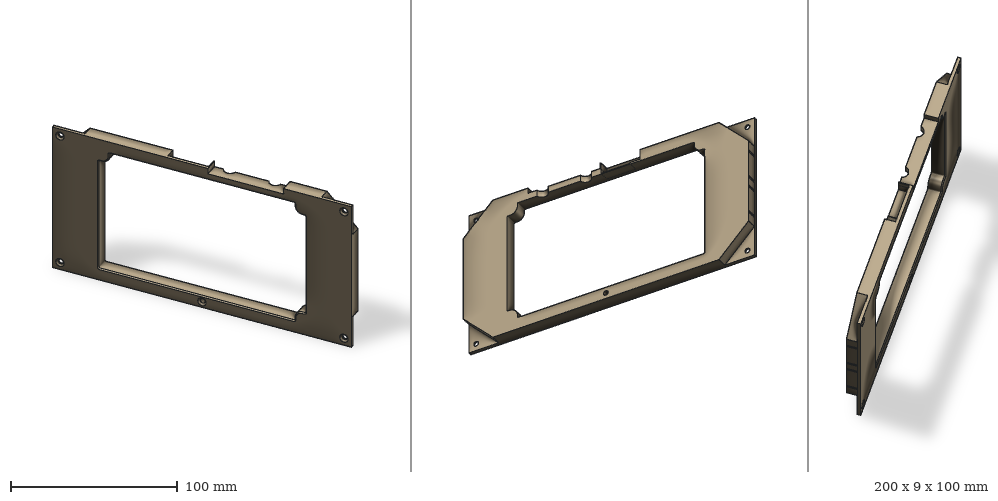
import cadquery as cq

LENGTH = 200.0
DEPTH = 9.0
HEIGHT = 100.0
PLATE_THICKNESS = 2.2
CORNER_CUT = 20.8

WINDOW_LEFT = 30.8
WINDOW_RIGHT = 169.2
WINDOW_BOTTOM = 8.2
WINDOW_TOP = 91.8
CORNER_TAB = 7.2
TAB_RADIUS = 5.0
WINDOW_CORNER_RADIUS = 0.8
WINDOW_CHAMFER = 0.8

HOLE_DIAMETER = 3.2
COUNTERSINK_DIAMETER = 5.5
COUNTERSINK_ANGLE = 90.0
HOLE_INSET = 5.0
MIDDLE_HOLE_X = LENGTH / 2
MIDDLE_HOLE_Z = 4.0

TOP_SLOT_LEFT = 104.0
TOP_SLOT_RIGHT = 154.5
TOP_SLOT_DEPTH = 3.8
POCKET_LEFT = 76.2
FIN_THICKNESS = 0.5
POCKET_STEP_X = 83.2
POCKET_DEPTH = 7.0
POCKET_STEP = 0.5
WIRE_NOTCH_X = (114.0, 144.5)
WIRE_NOTCH_RADIUS = 4.0
WIRE_NOTCH_DEPTH = 3.0

RECESS_DEPTH = 0.1
RECESS_FRONT = 2.0
RIB_WIDTH = 1.2
RIB_OFFSETS = (-22.0, -3.5, 3.5, 22.0)


def box(x0, x1, y0, y1, z0, z1):
    """Box between opposite corner coordinates."""
    return cq.Workplane("XY").box(x1 - x0, y1 - y0, z1 - z0, centered=False).translate((x0, y0, z0))


def make_blank():
    """Rectangular front plate with a corner-cut body behind it."""
    plate = box(0, LENGTH, 0, PLATE_THICKNESS, 0, HEIGHT)
    body = box(0, LENGTH, 0, DEPTH, 0, HEIGHT).edges("|Y").chamfer(CORNER_CUT)
    return plate.union(body)


def make_window():
    """Cutter for the window: three corners keep a rounded tab, the front rim is chamfered."""
    opening = box(WINDOW_LEFT, WINDOW_RIGHT, 0, DEPTH, WINDOW_BOTTOM, WINDOW_TOP)
    tab_corners = (
        (WINDOW_LEFT, WINDOW_TOP, 1, -1),
        (WINDOW_RIGHT, WINDOW_TOP, -1, -1),
        (WINDOW_RIGHT, WINDOW_BOTTOM, -1, 1),
    )
    for x, z, toward_x, toward_z in tab_corners:
        tip_x = x + toward_x * CORNER_TAB
        tip_z = z + toward_z * CORNER_TAB
        tab = box(min(x, tip_x), max(x, tip_x), 0, DEPTH, min(z, tip_z), max(z, tip_z))
        tip_side = (">" if toward_x > 0 else "<") + "X"
        tip_level = (">" if toward_z > 0 else "<") + "Z"
        tab = tab.faces(tip_side).edges("|Y").edges(tip_level).fillet(TAB_RADIUS)
        opening = opening.cut(tab)
    outer_faces = opening.faces("<X or >X or <Z or >Z")
    opening = outer_faces.edges("|Y").fillet(WINDOW_CORNER_RADIUS)
    return opening.union(flare(opening))


def flare(opening):
    """Tapered prism that widens the opening toward the front face."""
    outline = opening.faces("<Y").wires().val().translate(cq.Vector(0, WINDOW_CHAMFER, 0))
    return (
        cq.Workplane("XZ", origin=(0, WINDOW_CHAMFER, 0))
        .add(outline)
        .toPending()
        .extrude(WINDOW_CHAMFER, taper=-45)
    )


def drill_holes(part):
    """Four corner holes and one in the bottom rail, countersunk from the front."""
    columns = (HOLE_INSET, LENGTH - HOLE_INSET)
    rows = (HOLE_INSET, HEIGHT - HOLE_INSET)
    points = [(x, z) for x in columns for z in rows]
    points.append((MIDDLE_HOLE_X, MIDDLE_HOLE_Z))
    return (
        cq.Workplane("XZ")
        .add(part)
        .pushPoints(points)
        .cskHole(HOLE_DIAMETER, COUNTERSINK_DIAMETER, COUNTERSINK_ANGLE)
    )


def cut_top_edge(part):
    """Slot through the full depth, stepped pocket behind the plate, and round notches in the rear edge."""
    slot_floor = HEIGHT - TOP_SLOT_DEPTH
    part = part.cut(box(TOP_SLOT_LEFT, TOP_SLOT_RIGHT, 0, DEPTH, slot_floor, HEIGHT))
    pocket_right = TOP_SLOT_LEFT - FIN_THICKNESS
    pocket_floor = HEIGHT - POCKET_DEPTH
    part = part.cut(box(POCKET_LEFT, pocket_right, PLATE_THICKNESS, DEPTH, pocket_floor, HEIGHT))
    part = part.cut(
        box(POCKET_STEP_X, pocket_right, PLATE_THICKNESS, DEPTH, pocket_floor - POCKET_STEP, HEIGHT)
    )
    notches = (
        cq.Workplane("XY", origin=(0, 0, WINDOW_TOP))
        .pushPoints([(x, DEPTH + WIRE_NOTCH_RADIUS - WIRE_NOTCH_DEPTH) for x in WIRE_NOTCH_X])
        .circle(WIRE_NOTCH_RADIUS)
        .extrude(HEIGHT - WINDOW_TOP)
    )
    return part.cut(notches)


def recess_left_end(part):
    """Sink the flat between the two left corner cuts, leaving the ribs flush with the plate edge."""
    recess = box(0, RECESS_DEPTH, RECESS_FRONT, DEPTH, CORNER_CUT, HEIGHT - CORNER_CUT)
    for offset in RIB_OFFSETS:
        rib_bottom = (HEIGHT - RIB_WIDTH) / 2 + offset
        recess = recess.cut(box(0, RECESS_DEPTH, RECESS_FRONT, DEPTH, rib_bottom, rib_bottom + RIB_WIDTH))
    return part.cut(recess)


frame = make_blank().cut(make_window())
frame = drill_holes(frame)
frame = cut_top_edge(frame)
result = recess_left_end(frame)